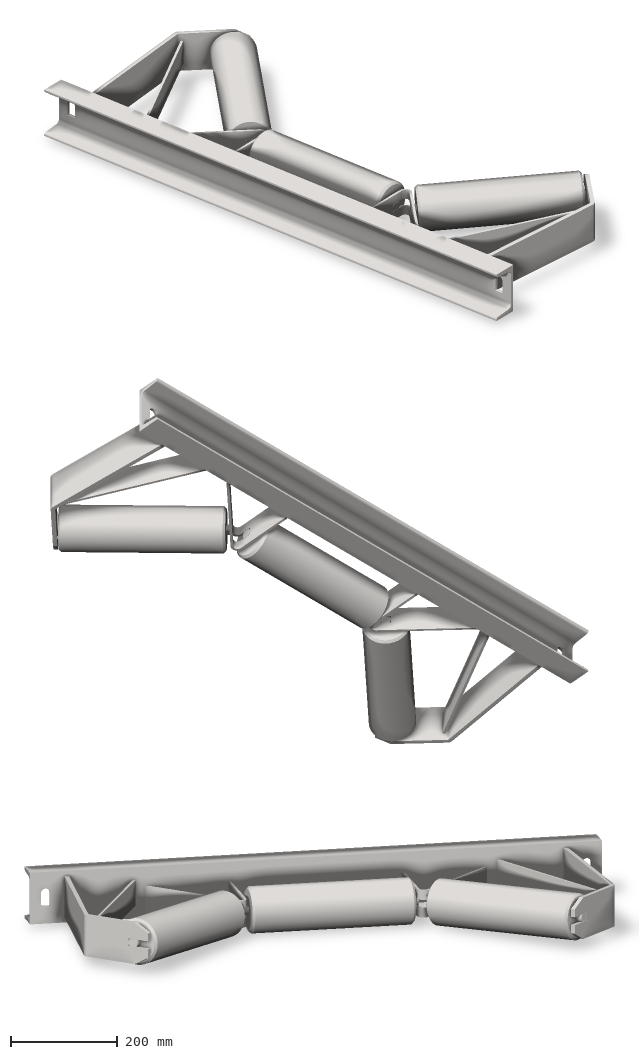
import cadquery as cq
import math


beam_length = 1100.0
beam_height = 100.0
flange_width = 50.0
web_thickness = 6.0
flange_root_thickness = 10.5
flange_tip_thickness = 7.0
root_radius = 8.2
tip_radius = 4.0

slot_spacing = 1041.0
slot_width = 18.0
slot_bottom = -16.0
slot_height = 34.0

roller_diameter = 89.0
roller_length = 315.0
roller_chamfer = 4.0
shaft_radius = 10.0
shaft_length = 338.0
shaft_flat_height = 14.0
middle_roller_y = 118.0
roller_drop = 14.0
trough_angle = 45.0
side_roller_x = -315.0
side_roller_y = 246.0

notch_height = 15.0
notch_reach = 110.0

outer_thickness = 8.2
outer_height = 80.0
outer_foot_x = -484.0
outer_corner = (-510.0, 289.0)
outer_tip_y = 389.0
outer_inside_radius = 4.0
tip_cut_length = 30.0
tip_cut_height = 16.0

inner_thickness = 5.0
inner_height = 53.0
inner_wall_x = -164.0
inner_corner_y = 165.0
inner_inside_radius = 8.2

brace_thickness = 5.0
brace_height = 50.0
brace_foot_x = -350.0
brace_top = (-496.0, 292.0)

foot_overrun = 22.0


def unit(from_point, to_point):
    """Unit vector from one plan point to another."""
    dx = to_point[0] - from_point[0]
    dy = to_point[1] - from_point[1]
    length = math.hypot(dx, dy)
    return (dx / length, dy / length)


def shifted(point, direction, distance):
    """Plan point moved a distance along a unit direction."""
    return (point[0] + distance * direction[0], point[1] + distance * direction[1])


def upright_plate(outline, height, middle_z):
    """Vertical plate with the given plan outline, trimmed flush with the beam back."""
    base = cq.Workplane("XY", origin=(0, 0, middle_z - height / 2))
    plate = base.polyline(outline).close().extrude(height)
    overrun_centre = cq.Workplane("XY", origin=(0, -foot_overrun, 0))
    return plate.cut(overrun_centre.box(beam_length, 2 * foot_overrun, beam_length))


def bent_plate(start, corner, end, thickness, inside_radius, height, middle_z):
    """Plate bent once; the three points lie on its outer face and the thickness goes inward."""
    to_start = unit(corner, start)
    to_end = unit(corner, end)
    cos_bend = to_start[0] * to_end[0] + to_start[1] * to_end[1]
    sin_bend = math.sqrt(1 - cos_bend**2)
    leg_share = thickness / sin_bend
    inner_corner = shifted(shifted(corner, to_start, leg_share), to_end, leg_share)
    square_back = thickness * cos_bend / sin_bend
    inner_start = shifted(shifted(start, to_end, leg_share), to_start, -square_back)
    inner_end = shifted(shifted(end, to_start, leg_share), to_end, -square_back)
    plate = upright_plate([start, corner, end, inner_end, inner_corner, inner_start], height, middle_z)
    outer_edge = plate.edges(cq.selectors.NearestToPointSelector((*corner, middle_z)))
    plate = outer_edge.fillet(inside_radius + thickness)
    inner_edge = plate.edges(cq.selectors.NearestToPointSelector((*inner_corner, middle_z)))
    return inner_edge.fillet(inside_radius)


def mirrored_pair(body):
    """Solids of a left body and of its mirror image on the right."""
    return [body.val(), body.mirror("YZ").val()]


def mounting_slot(x):
    """Cutter for one slot through the beam web."""
    arch_centre = slot_bottom + slot_height - slot_width / 2
    half = slot_width / 2
    return (
        cq.Workplane("XZ", origin=(x, 0, 0))
        .moveTo(-half, slot_bottom)
        .lineTo(half, slot_bottom)
        .lineTo(half, arch_centre)
        .threePointArc((0, arch_centre + half), (-half, arch_centre))
        .close()
        .extrude(flange_width)
    )


def make_beam():
    """Channel whose flanges point to -Y, with rounded roots and tips and two mounting slots."""
    top = beam_height / 2
    root = top - flange_root_thickness
    tip = top - flange_tip_thickness
    outline = [
        (0, -top), (-flange_width, -top), (-flange_width, -tip), (-web_thickness, -root),
        (-web_thickness, root), (-flange_width, tip), (-flange_width, top), (0, top),
    ]
    beam = cq.Workplane("YZ").polyline(outline).close().extrude(beam_length / 2, both=True)
    for side in (-1, 1):
        root_point = (0, -web_thickness, side * root)
        tip_point = (0, -flange_width, side * tip)
        beam = beam.edges(cq.selectors.NearestToPointSelector(root_point)).fillet(root_radius)
        beam = beam.edges(cq.selectors.NearestToPointSelector(tip_point)).fillet(tip_radius)
    for side in (-1, 1):
        beam = beam.cut(mounting_slot(side * slot_spacing / 2))
    return beam


def make_roller(centre, axis):
    """Barrel on a shaft whose exposed ends are flattened above and below."""
    across = cq.Vector(axis).cross(cq.Vector(0, 0, 1))
    upward = across.cross(cq.Vector(axis))

    def centred_bar(length):
        start = (cq.Vector(centre) - cq.Vector(axis).normalized() * (length / 2)).toTuple()
        return cq.Workplane(cq.Plane(origin=start, xDir=upward.toTuple(), normal=axis))

    barrel = centred_bar(roller_length).circle(roller_diameter / 2).extrude(roller_length)
    barrel = barrel.faces("%PLANE").edges().chamfer(roller_chamfer)
    shaft = centred_bar(shaft_length).circle(shaft_radius).extrude(shaft_length)
    flats = centred_bar(shaft_length).rect(shaft_flat_height, 2 * shaft_radius).extrude(shaft_length)
    return barrel.union(shaft.intersect(flats))


plan_angle = math.radians(trough_angle)
plan_run = math.sqrt(roller_length**2 - roller_drop**2)
side_axis = (plan_run * math.cos(plan_angle), -plan_run * math.sin(plan_angle), -roller_drop)
side_centre = (side_roller_x, side_roller_y, -roller_drop / 2)
middle_centre = (0, middle_roller_y, -roller_drop)


def shaft_notch(shaft_end, direction, depth):
    """Open notch across a plate, running from just past the shaft in the given plan direction."""
    plane = cq.Plane(origin=shaft_end, xDir=(*direction, 0), normal=(0, 0, 1))
    return (
        cq.Workplane(plane)
        .moveTo(-shaft_radius, -depth)
        .rect(notch_reach, 2 * depth, centered=(False, False))
        .extrude(notch_height / 2, both=True)
    )


def side_shaft_end(direction_sign):
    """Centre of the outer (-1) or inner (1) shaft end of the left side roller."""
    reach = direction_sign * shaft_length / 2 / roller_length
    return tuple(c + reach * a for c, a in zip(side_centre, side_axis))


plate_direction = (math.sin(plan_angle), math.cos(plan_angle))


def make_outer_bracket():
    """Plate from the beam to the outer shaft end, with a notched tip that has cut corners."""
    foot_direction = unit(outer_corner, (outer_foot_x, 0))
    start = shifted((outer_foot_x, 0), foot_direction, foot_overrun)
    leg_length = (outer_tip_y - outer_corner[1]) / plate_direction[1]
    tip = shifted(outer_corner, plate_direction, leg_length)
    bracket = bent_plate(start, outer_corner, tip, outer_thickness, outer_inside_radius, outer_height, 0)
    across = (plate_direction[1], -plate_direction[0], 0)
    half = outer_height / 2
    for side in (-1, 1):
        corner_cut = (
            cq.Workplane(cq.Plane(origin=(*tip, 0), xDir=(*plate_direction, 0), normal=across))
            .polyline([(0, side * half), (-tip_cut_length, side * half), (0, side * (half - tip_cut_height))])
            .close()
            .extrude(2 * outer_thickness, both=True)
        )
        bracket = bracket.cut(corner_cut)
    return bracket.cut(shaft_notch(side_shaft_end(-1), plate_direction, 2 * outer_thickness))


def make_inner_bracket():
    """Plate that carries the middle roller on its straight leg and the side roller on its sloping leg."""
    corner = (inner_wall_x, inner_corner_y)
    straight_foot = (inner_wall_x, -foot_overrun)
    sloping_foot = shifted(corner, plate_direction, -(inner_corner_y + foot_overrun) / plate_direction[1])
    bracket = bent_plate(
        straight_foot, corner, sloping_foot, inner_thickness, inner_inside_radius, inner_height, -roller_drop
    )
    middle_shaft_end = (-shaft_length / 2, middle_roller_y, -roller_drop)
    bracket = bracket.cut(shaft_notch(middle_shaft_end, (0, 1), 2 * inner_thickness))
    return bracket.cut(shaft_notch(side_shaft_end(1), plate_direction, 2 * inner_thickness))


def make_brace(bracket):
    """Strip from the beam to the inside of the bracket bend, cut to fit against the bracket."""
    along = unit(brace_top, (brace_foot_x, 0))
    foot = shifted((brace_foot_x, 0), along, foot_overrun)
    across = (-along[1], along[0])
    half = brace_thickness / 2
    outline = [
        shifted(brace_top, across, half), shifted(brace_top, across, -half),
        shifted(foot, across, -half), shifted(foot, across, half),
    ]
    return upright_plate(outline, brace_height, 0).cut(bracket)


beam = make_beam()
middle_roller = make_roller(middle_centre, (1, 0, 0))
side_roller = make_roller(side_centre, side_axis)
outer_bracket = make_outer_bracket()
inner_bracket = make_inner_bracket()
brace = make_brace(outer_bracket)

result = cq.Compound.makeCompound([
    beam.val(),
    middle_roller.val(),
    *mirrored_pair(side_roller),
    *mirrored_pair(outer_bracket),
    *mirrored_pair(inner_bracket),
    *mirrored_pair(brace),
])